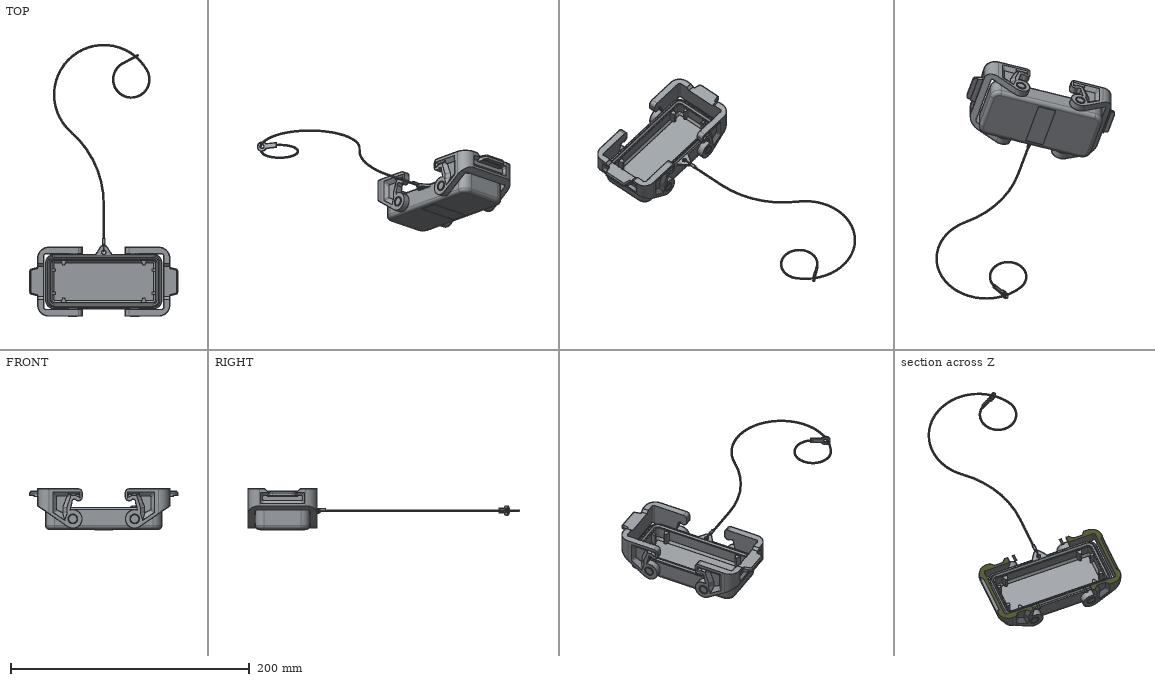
import cadquery as cq
import math

BODY_HALF_X = 48.7
BODY_HALF_Y = 22.9
BODY_CORNER_R = 7.5
PAD_HEIGHT = 0.45
PAD_HALF_X = 7.5
PAD_HALF_Y = 18.5
BOTTOM_FILLET_R = 3.3
LEDGE_Z = 17.3
RIDGE_Z = 18.9
FLOOR_Z = 5.7
FLOOR_BEVEL_HEIGHT = 2.0
RIDGE_FOOT_OUTER = 1.4
RIDGE_CREST = 2.65
RIDGE_FOOT_INNER = 4.2
CAVITY_INSET = 5.3
FLOOR_INSET = 7.2

LONG_WALL_RIB_X = 33.6
LONG_WALL_RIB_BASE = 4.8
LONG_WALL_RIB_TIP = 1.6
LONG_WALL_RIB_REACH = 3.7
SHORT_WALL_RIB_Y = 9.7
SHORT_WALL_RIB_BASE = 2.8
SHORT_WALL_RIB_TIP = 1.8
SHORT_WALL_RIB_REACH = 2.9
RIB_TOP_Z = 16.0
WALL_OVERLAP = 1.0

LEVER_TOP_Z = 34.55
LEVER_OUTER_X = -55.4
LEVER_INNER_X = -50.1
LEVER_HOOK_X = -18.0
LEVER_HALF_Y = 28.9
LEVER_INNER_HALF_Y = 23.2
LEVER_CORNER_R = 9.5
LEVER_INNER_CORNER_R = 1.5
LEVER_HEEL_Z = 20.2
POCKET_CORNER_R = 1.5
HOOK_NOSE_R = 3.3
HOOK_LIP_Z = 24.4
HOOK_LIP_BEARING = 225
NOTCH_TOP = (-24.3, 25.7)
NOTCH_R = 2.1
NECK_FOOT_X = -28.1
PIVOT_X = -25.9
PIVOT_Z = 9.3
BOSS_R = 7.7

PIN_R = 3.5
PIN_GROOVE_R = 4.0
PIN_GROOVE_DEPTH = 0.5
PIN_PROUD = 0.2
PIN_ROOT_Y = 20.5

SIDE_POCKET_DEPTH = 3.0
HOOK_POCKET_DEPTH = 1.6
SIDE_POCKET_MOUTH = (
    (-42.5, 31.9), (-27.0, 31.9), (-27.6, 28.7), (-31.0, 18.4), (-30.6, 14.4), (-32.6, 8.1), (-42.5, 14.7),
)
SIDE_POCKET_FLOOR = (
    (-39.7, 28.3), (-30.8, 28.3), (-31.0, 27.9), (-34.2, 19.3), (-34.2, 15.4), (-34.4, 14.4), (-39.7, 17.0),
)
HOOK_POCKET_MOUTH = ((-30.0, 31.9), (-19.8, 31.9), (-19.8, 27.0), (-23.7, 29.1), (-27.6, 28.7))
HOOK_POCKET_FLOOR = ((-30.0, 30.3), (-20.8, 30.3), (-20.8, 29.6), (-23.7, 30.1), (-27.6, 30.1))

END_POCKET_HALF_Y = 18.5
END_POCKET_Z = (22.2, 31.3)
END_POCKET_FLOOR_HALF_Y = 16.7
END_POCKET_FLOOR_Z = (24.6, 28.8)
END_POCKET_DEPTH = 2.2
SADDLE_HALF_Y = 12.6
SADDLE_RUN = 2.4

TAB_END_X = -62.0
TAB_BOTTOM_Z = 28.9
TAB_ROOT_BOTTOM_Z = 27.9
TAB_ROOT_X = -58.3
TAB_TOP_Z = 32.5
TAB_ROOT_HALF_Y = 13.1
TAB_END_HALF_Y = 10.3
TAB_CORNER_R = 2.2
TAB_BEVEL_RUN = 1.6
TAB_BEVEL_DROP = 0.9

EYELET_TIP_Y = 30.3
EYELET_TIP_R = 3.6
EYELET_FLANK_BEARING = 33
EYELET_HOLE_Y = 24.6
EYELET_HOLE_R = 1.7
EYELET_BOTTOM_Z = 15.2

CORD_R = 0.6
CORD_Z = 16.3
CORD_START_Y = 32.0
CORD_STRAIGHT_END_Y = 65.0
CORD_TOP_Y = 198.77
CORD_BIG_R = 41.6
CORD_LOOP_R = 15.2
CORD_LOOP_BEARING = 29
CORD_LOOP_END_BEARING = 118

SLEEVE_R = 1.15
SLEEVE_Z = 17.05
SLEEVE_START_Y = 31.2
SLEEVE_END_Y = 36.2
WIRE_R = 0.4
WIRE_NEAR_Y = 25.0
WIRE_FAR_Y = 31.5
WIRE_BOTTOM_Z = 14.4
WIRE_TOP_Z = 17.6

LUG_EYE_R = 4.0
LUG_HOLE_R = 1.7
LUG_THICKNESS = 1.2
LUG_TAIL_HEIGHT = 4.0
LUG_EYE_AHEAD = 10.6
LUG_TAIL_BEHIND = 1.9


def polar(center, radius, bearing):
    """Point at a radius and a bearing in degrees from a centre."""
    angle = math.radians(bearing)
    return (center[0] + radius * math.cos(angle), center[1] + radius * math.sin(angle))


def block(x_range, y_range, z_range):
    """Box spanning a low and a high value along each axis."""
    size = [high - low for low, high in (x_range, y_range, z_range)]
    corner = (x_range[0], y_range[0], z_range[0])
    return cq.Workplane("XY").box(*size, centered=False).translate(corner)


def body_outline(inset):
    """Housing plan outline, moved inward by an inset."""
    sketch = cq.Sketch().rect(2 * (BODY_HALF_X - inset), 2 * (BODY_HALF_Y - inset))
    return sketch.vertices().fillet(BODY_CORNER_R - inset)


def body_frustum(low_inset, low_z, high_inset, high_z):
    """Block of the housing outline with sides leaning from one inset to another."""
    high_outline = body_outline(high_inset).moved(cq.Location(cq.Vector(0, 0, high_z - low_z)))
    base = cq.Workplane("XY").workplane(offset=low_z)
    return base.placeSketch(body_outline(low_inset), high_outline).loft(ruled=True)


def tapered_pocket(mouth, floor):
    """Solid between a mouth and a floor outline, both listed corner by corner."""
    wires = []
    for outline in (mouth, floor):
        corners = [cq.Vector(*point) for point in outline]
        wires.append(cq.Wire.makePolygon(corners, close=True))
    return cq.Workplane("XY").newObject([cq.Solid.makeLoft(wires, True)])


def make_housing():
    """Tray with a flat ledge, a ridge around the rim and a bevelled floor."""
    outer = (
        cq.Workplane("XY")
        .workplane(offset=PAD_HEIGHT)
        .placeSketch(body_outline(0))
        .extrude(LEDGE_Z - PAD_HEIGHT)
        .faces("<Z")
        .edges()
        .fillet(BOTTOM_FILLET_R)
    )
    ridge = body_frustum(RIDGE_FOOT_OUTER, LEDGE_Z, RIDGE_CREST, RIDGE_Z)
    ridge = ridge.cut(body_frustum(RIDGE_FOOT_INNER, LEDGE_Z, RIDGE_CREST, RIDGE_Z))
    bevel_top_z = FLOOR_Z + FLOOR_BEVEL_HEIGHT
    cavity = body_frustum(CAVITY_INSET, bevel_top_z, CAVITY_INSET, LEDGE_Z)
    floor_bevel = body_frustum(FLOOR_INSET, FLOOR_Z, CAVITY_INSET, bevel_top_z)
    pad = block((-PAD_HALF_X, PAD_HALF_X), (-PAD_HALF_Y, PAD_HALF_Y), (0, FLOOR_Z))
    return outer.cut(cavity).cut(floor_bevel).union(pad).union(ridge)


def make_rib(base, tip, reach):
    """Rib tapering in plan along +X, with its base on the YZ plane."""
    outline = [(-WALL_OVERLAP, -base / 2), (0, -base / 2), (reach, -tip / 2)]
    outline += [(x, -y) for x, y in reversed(outline)]
    base_plane = cq.Workplane("XY").workplane(offset=FLOOR_Z)
    return base_plane.polyline(outline).close().extrude(RIB_TOP_Z - FLOOR_Z)


def add_ribs(part):
    long_rib = make_rib(LONG_WALL_RIB_BASE, LONG_WALL_RIB_TIP, LONG_WALL_RIB_REACH)
    short_rib = make_rib(SHORT_WALL_RIB_BASE, SHORT_WALL_RIB_TIP, SHORT_WALL_RIB_REACH)
    wall_x = BODY_HALF_X - CAVITY_INSET
    wall_y = BODY_HALF_Y - CAVITY_INSET
    long_rib = long_rib.rotate((0, 0, 0), (0, 0, 1), 90)
    for turn in (0, 180):
        for side in (-1, 1):
            on_long_wall = long_rib.translate((side * LONG_WALL_RIB_X, -wall_y, 0))
            on_short_wall = short_rib.translate((-wall_x, side * SHORT_WALL_RIB_Y, 0))
            for rib in (on_long_wall, on_short_wall):
                part = part.union(rib.rotate((0, 0, 0), (0, 0, 1), turn))
    return part


def lever_profile():
    """Lever side outline, with a hook at the top and a heel sloping to the pivot boss."""
    pivot = (PIVOT_X, PIVOT_Z)
    heel = (LEVER_OUTER_X, LEVER_HEEL_Z)
    heel_distance = math.dist(pivot, heel)
    heel_bearing = math.degrees(math.atan2(heel[1] - pivot[1], heel[0] - pivot[0]))
    tangent_bearing = heel_bearing + math.degrees(math.acos(BOSS_R / heel_distance))
    neck_foot_z = PIVOT_Z + math.sqrt(BOSS_R**2 - (NECK_FOOT_X - PIVOT_X) ** 2)

    nose_x = LEVER_HOOK_X - HOOK_NOSE_R
    upper_nose = (nose_x, LEVER_TOP_Z - HOOK_NOSE_R)
    lower_nose = (nose_x, HOOK_LIP_Z + HOOK_NOSE_R)
    notch = (NOTCH_TOP[0], NOTCH_TOP[1] - NOTCH_R)
    return (
        cq.Workplane("XZ")
        .moveTo(*heel)
        .lineTo(LEVER_OUTER_X, LEVER_TOP_Z)
        .lineTo(nose_x, LEVER_TOP_Z)
        .threePointArc(polar(upper_nose, HOOK_NOSE_R, 45), polar(upper_nose, HOOK_NOSE_R, 0))
        .lineTo(*polar(lower_nose, HOOK_NOSE_R, 0))
        .threePointArc(polar(lower_nose, HOOK_NOSE_R, -60), polar(lower_nose, HOOK_NOSE_R, HOOK_LIP_BEARING))
        .threePointArc(NOTCH_TOP, polar(notch, NOTCH_R, 180))
        .lineTo(NECK_FOOT_X, neck_foot_z)
        .lineTo(*pivot)
        .lineTo(*polar(pivot, BOSS_R, tangent_bearing))
        .close()
    )


def lever_plan():
    """U-shaped band around the end of the housing, open towards +X."""
    height = LEVER_TOP_Z
    outer = block((LEVER_OUTER_X, 0), (-LEVER_HALF_Y, LEVER_HALF_Y), (0, height))
    outer = outer.edges("|Z and <X").fillet(LEVER_CORNER_R)
    inner = block((LEVER_INNER_X, 0), (-LEVER_INNER_HALF_Y, LEVER_INNER_HALF_Y), (0, height))
    inner = inner.edges("|Z and <X").fillet(LEVER_INNER_CORNER_R)
    return outer.cut(inner)


def end_pocket():
    """Tapered recess in the outer face of the lever end wall."""
    def corners(x, half_y, z_range):
        low, high = z_range
        return [(x, -half_y, low), (x, half_y, low), (x, half_y, high), (x, -half_y, high)]

    mouth = corners(LEVER_OUTER_X, END_POCKET_HALF_Y, END_POCKET_Z)
    floor = corners(LEVER_OUTER_X + END_POCKET_DEPTH, END_POCKET_FLOOR_HALF_Y, END_POCKET_FLOOR_Z)
    return tapered_pocket(mouth, floor).edges("not #X").fillet(POCKET_CORNER_R)


def end_saddle():
    """Shallow dip with sloping ends in the top of the lever end wall."""
    top_half_y = SADDLE_HALF_Y + SADDLE_RUN
    outline = [
        (-top_half_y, LEVER_TOP_Z),
        (-SADDLE_HALF_Y, TAB_TOP_Z),
        (SADDLE_HALF_Y, TAB_TOP_Z),
        (top_half_y, LEVER_TOP_Z),
    ]
    length = LEVER_INNER_X - LEVER_OUTER_X
    return cq.Workplane("YZ").workplane(offset=LEVER_OUTER_X).polyline(outline).close().extrude(length)


def finger_tab():
    """Bevelled grip plate, thicker where it joins the end wall."""
    outline = [
        (LEVER_INNER_X, -TAB_ROOT_HALF_Y),
        (TAB_END_X, -TAB_END_HALF_Y),
        (TAB_END_X, TAB_END_HALF_Y),
        (LEVER_INNER_X, TAB_ROOT_HALF_Y),
    ]
    tab = cq.Workplane("XY").workplane(offset=TAB_ROOT_BOTTOM_Z).polyline(outline).close()
    tab = tab.extrude(TAB_TOP_Z - TAB_ROOT_BOTTOM_Z).edges("|Z and <X").fillet(TAB_CORNER_R)
    tab = tab.faces(">Z").edges("not >X").chamfer(TAB_BEVEL_DROP, TAB_BEVEL_RUN)
    under_cut = block(
        (TAB_END_X, TAB_ROOT_X), (-TAB_ROOT_HALF_Y, TAB_ROOT_HALF_Y), (TAB_ROOT_BOTTOM_Z, TAB_BOTTOM_Z)
    )
    return tab.cut(under_cut)


def side_cuts():
    """Side pockets and pin groove of the lever arm at -Y."""
    face_y = -LEVER_HALF_Y

    def at_depth(outline, depth):
        return [(x, face_y + depth, z) for x, z in outline]

    main_floor = at_depth(SIDE_POCKET_FLOOR, SIDE_POCKET_DEPTH)
    main_pocket = tapered_pocket(at_depth(SIDE_POCKET_MOUTH, 0), main_floor)
    main_pocket = main_pocket.edges("not #Y").edges("<X").fillet(POCKET_CORNER_R)
    hook_floor = at_depth(HOOK_POCKET_FLOOR, HOOK_POCKET_DEPTH)
    hook_pocket = tapered_pocket(at_depth(HOOK_POCKET_MOUTH, 0), hook_floor)
    groove = (
        cq.Workplane("XZ", origin=(PIVOT_X, face_y + PIN_GROOVE_DEPTH, PIVOT_Z))
        .circle(PIN_GROOVE_R)
        .circle(PIN_R)
        .extrude(PIN_GROOVE_DEPTH)
    )
    return main_pocket, hook_pocket, groove


def pivot_pin():
    """Pin at -Y, rooted in the housing wall and standing slightly proud of the lever."""
    pin = cq.Workplane("XZ", origin=(PIVOT_X, -PIN_ROOT_Y, PIVOT_Z)).circle(PIN_R)
    return pin.extrude(LEVER_HALF_Y + PIN_PROUD - PIN_ROOT_Y)


def make_lever():
    lever = lever_profile().extrude(LEVER_HALF_Y, both=True)
    boss = cq.Workplane("XZ", origin=(PIVOT_X, 0, PIVOT_Z)).circle(BOSS_R).extrude(LEVER_HALF_Y, both=True)
    lever = lever.union(boss).intersect(lever_plan())
    lever = lever.cut(end_pocket()).cut(end_saddle()).union(finger_tab())
    for feature in side_cuts():
        lever = lever.cut(feature).cut(feature.mirror("XZ"))
    pin = pivot_pin()
    return lever.union(pin).union(pin.mirror("XZ"))


def make_eyelet():
    tip = (0, EYELET_TIP_Y - EYELET_TIP_R)
    flank_x, flank_y = polar(tip, EYELET_TIP_R, EYELET_FLANK_BEARING)
    root_x = flank_x + (flank_y - BODY_HALF_Y) * math.tan(math.radians(EYELET_FLANK_BEARING))
    root_y = BODY_HALF_Y - WALL_OVERLAP
    plate = (
        cq.Workplane("XY")
        .workplane(offset=EYELET_BOTTOM_Z)
        .moveTo(-root_x, root_y)
        .lineTo(-root_x, BODY_HALF_Y)
        .lineTo(-flank_x, flank_y)
        .threePointArc((0, EYELET_TIP_Y), (flank_x, flank_y))
        .lineTo(root_x, BODY_HALF_Y)
        .lineTo(root_x, root_y)
        .close()
        .extrude(LEDGE_Z - EYELET_BOTTOM_Z)
    )
    hole = cq.Workplane("XY").center(0, EYELET_HOLE_Y).circle(EYELET_HOLE_R).extrude(RIDGE_Z)
    return plate.cut(hole)


def make_wire_loop():
    """Wire through the eyelet hole, closed by the crimp sleeve."""
    height = WIRE_TOP_Z - WIRE_BOTTOM_Z
    center_y = (WIRE_NEAR_Y + WIRE_FAR_Y) / 2
    center_z = (WIRE_TOP_Z + WIRE_BOTTOM_Z) / 2
    path = cq.Workplane("YZ").center(center_y, center_z).slot2D(WIRE_FAR_Y - WIRE_NEAR_Y, height)
    start = cq.Workplane("XZ", origin=(0, center_y, WIRE_TOP_Z))
    return start.circle(WIRE_R).sweep(path)


def make_sleeve():
    sleeve = cq.Workplane("XZ", origin=(0, SLEEVE_START_Y, SLEEVE_Z)).circle(SLEEVE_R)
    return sleeve.extrude(SLEEVE_START_Y - SLEEVE_END_Y)


def make_cord_and_lug():
    """Cord of tangent arcs, ending in a lug whose eye lies over the large bend."""
    big_center = (0, CORD_TOP_Y - CORD_R - CORD_BIG_R)
    rise = big_center[1] - CORD_STRAIGHT_END_Y
    left_bend_r = (rise**2 - CORD_BIG_R**2) / (2 * CORD_BIG_R)
    left_center = (-left_bend_r, CORD_STRAIGHT_END_Y)
    join_bearing = math.degrees(math.atan2(rise, left_bend_r))
    loop_center = polar(big_center, CORD_BIG_R - CORD_LOOP_R, CORD_LOOP_BEARING)
    loop_end = polar(loop_center, CORD_LOOP_R, CORD_LOOP_END_BEARING)

    path = (
        cq.Workplane("XY", origin=(0, 0, CORD_Z))
        .moveTo(0, CORD_START_Y)
        .lineTo(0, CORD_STRAIGHT_END_Y)
        .threePointArc(
            polar(left_center, left_bend_r, join_bearing / 2),
            polar(left_center, left_bend_r, join_bearing),
        )
        .threePointArc((0, big_center[1] + CORD_BIG_R), polar(big_center, CORD_BIG_R, CORD_LOOP_BEARING))
        .threePointArc(polar(loop_center, CORD_LOOP_R, -90), loop_end)
    )
    cord = cq.Workplane("XZ", origin=(0, CORD_START_Y, CORD_Z)).circle(CORD_R).sweep(path)

    lug_bearing = CORD_LOOP_END_BEARING - 90
    tail_length = LUG_EYE_AHEAD + LUG_TAIL_BEHIND
    eye = cq.Workplane("XZ").center(LUG_EYE_AHEAD, 0).circle(LUG_EYE_R).extrude(LUG_THICKNESS / 2, both=True)
    tail = cq.Workplane("XY").box(tail_length, LUG_THICKNESS, LUG_TAIL_HEIGHT)
    tail = tail.translate((tail_length / 2 - LUG_TAIL_BEHIND, 0, 0))
    hole = cq.Workplane("XZ").center(LUG_EYE_AHEAD, 0).circle(LUG_HOLE_R).extrude(LUG_THICKNESS, both=True)
    lug = eye.union(tail).cut(hole).rotate((0, 0, 0), (0, 0, 1), lug_bearing)
    return cord.union(lug.translate((*loop_end, CORD_Z)))


lever = make_lever()
result = add_ribs(make_housing()).union(lever).union(lever.mirror("YZ"))
result = result.union(make_eyelet()).union(make_wire_loop())
result = result.union(make_sleeve()).union(make_cord_and_lug())